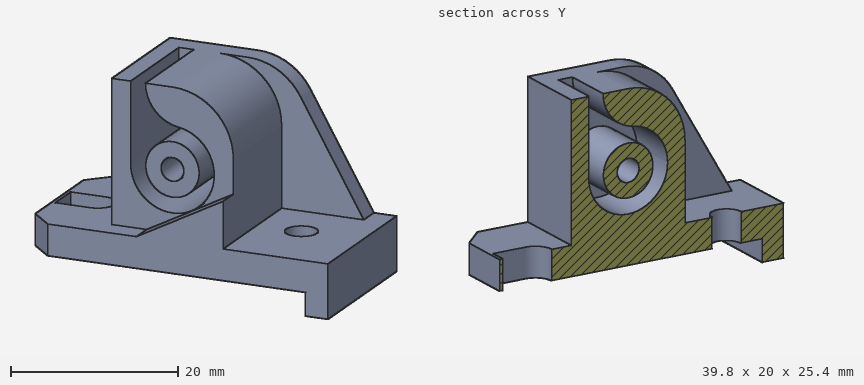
import cadquery as cq
import math

length = 39.75
width = 20.0
lip_depth = 3.0
plate_top = 7.0
lip_length = 3.0
corner_chamfer = 3.0

bolt_diameter = 4.0
bolt_x = 31.75
slot_width = 4.5
slot_start = 0.48
slot_end = 7.27

height = 25.4
block_start = 10.0
block_end = 26.0
block_round = 8.0
wall = 3.0
cheek_angle = 60.0
cheek_foot = length - lip_length

pin_x = 18.0
pin_z = 15.03
pin_diameter = 7.0
pin_bore = 3.0
cavity_radius = 5.5
mouth_width = 1.95

wedge_start = 14.63
wedge_top = 13.0


def extrude_y(sketch, start, end):
    """Extrude an XZ profile between two Y positions."""
    return sketch.extrude(-(end - start)).translate((0, start, 0))


def base_plate():
    plate = (
        cq.Workplane("XY")
        .box(length, width, plate_top - lip_depth, centered=False)
        .translate((0, 0, lip_depth))
        .edges("|Z and <X")
        .chamfer(corner_chamfer)
    )
    lip = (
        cq.Workplane("XY")
        .box(lip_length, width, plate_top, centered=False)
        .translate((length - lip_length, 0, 0))
    )
    return plate.union(lip)


def block():
    profile = (
        cq.Workplane("XZ")
        .moveTo(block_start, lip_depth)
        .lineTo(block_end, lip_depth)
        .lineTo(block_end, height - block_round)
        .radiusArc((block_end - block_round, height), -block_round)
        .lineTo(block_start, height)
        .close()
    )
    return extrude_y(profile, wall, width)


def cheek():
    crest_x = cheek_foot - (height - plate_top) / math.tan(math.radians(cheek_angle))
    tangent_length = block_round * math.tan(math.radians(cheek_angle / 2))
    arc_end = (
        crest_x + tangent_length * math.cos(math.radians(cheek_angle)),
        height - tangent_length * math.sin(math.radians(cheek_angle)),
    )
    profile = (
        cq.Workplane("XZ")
        .moveTo(block_start, lip_depth)
        .lineTo(cheek_foot, lip_depth)
        .lineTo(cheek_foot, plate_top)
        .lineTo(*arc_end)
        .radiusArc((crest_x - tangent_length, height), -block_round)
        .lineTo(block_start, height)
        .close()
    )
    return extrude_y(profile, width - wall, width)


def wedge():
    profile = cq.Workplane("XZ").polyline([
        (wedge_start, plate_top),
        (block_end, plate_top),
        (block_end, wedge_top),
    ]).close()
    return extrude_y(profile, 0, wall)


def cavity():
    """Round chamber with a curved mouth opening through the top of the block."""
    left = pin_x - cavity_radius
    mouth_right = left + mouth_width
    offset = pin_x - mouth_right
    rise = height - pin_z
    lip_radius = (offset**2 + rise**2 - cavity_radius**2) / (2 * (cavity_radius + offset))
    lip_center_x = mouth_right + lip_radius
    reach = cavity_radius / (cavity_radius + lip_radius)
    join = (
        pin_x + (lip_center_x - pin_x) * reach,
        pin_z + rise * reach,
    )
    profile = (
        cq.Workplane("XZ")
        .moveTo(left, height)
        .lineTo(left, pin_z)
        .threePointArc((pin_x, pin_z - cavity_radius), (pin_x + cavity_radius, pin_z))
        .radiusArc(join, -cavity_radius)
        .radiusArc((mouth_right, height), lip_radius)
        .close()
    )
    return extrude_y(profile, wall, width - wall)


def pin_cylinder(diameter, end):
    circle = cq.Workplane("XZ").center(pin_x, pin_z).circle(diameter / 2)
    return extrude_y(circle, wall, end)


def plate_openings():
    bolt = (
        cq.Workplane("XY")
        .center(bolt_x, width / 2)
        .circle(bolt_diameter / 2)
        .extrude(plate_top)
    )
    arc_start = slot_end - slot_width / 2
    slot = (
        cq.Workplane("XY")
        .moveTo(slot_start, (width - slot_width) / 2)
        .lineTo(arc_start, (width - slot_width) / 2)
        .threePointArc((slot_end, width / 2), (arc_start, (width + slot_width) / 2))
        .lineTo(slot_start, (width + slot_width) / 2)
        .close()
        .extrude(plate_top)
    )
    return bolt.union(slot)


result = base_plate().union(block()).union(cheek()).cut(cavity())
result = result.union(wedge()).union(pin_cylinder(pin_diameter, width - wall))
result = result.cut(pin_cylinder(pin_bore, width)).cut(plate_openings())